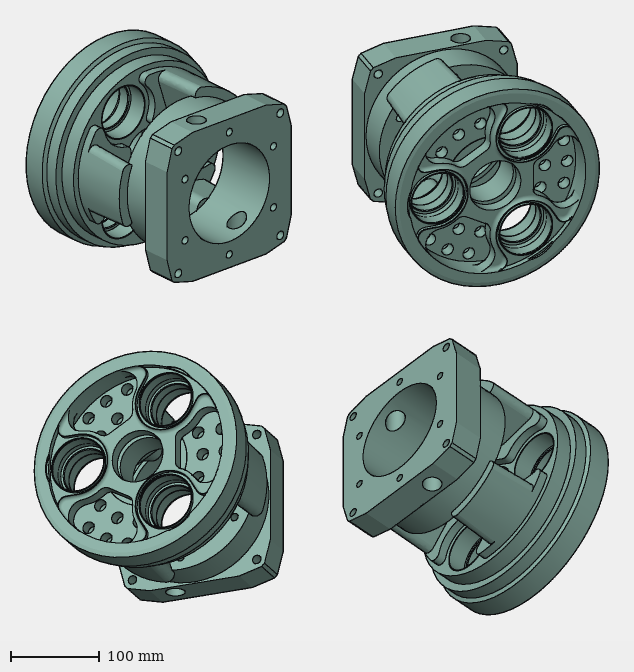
import cadquery as cq
import math

rim_dia = 248.0
rim_chamfer_dia = 238.0
front_chamfer_length = 1.0
rim_end = 28.8
rear_chamfer_length = 2.2
second_step_dia = 238.0
second_step_end = 46.5
third_step_dia = 220.0
flange_end = 66.5

recess_dia = 214.0
recess_floor = 7.2
web_back = 21.8
hub_land = 29.8
hub_land_dia = 101.2
hollow_floor = 30.5

ridge_inner_radius = 36.2
ridge_thickness = 0.5
ridge_fillet = 4.5
ridge_top = recess_floor - ridge_fillet
ridge_corner_radius = 9.7
bush_clearance_dia = 76.5
window_flat = 46.1
window_bore_distance = 42.2
window_corner_radius = 10.0
window_rim_corner_radius = 17.4

bore_circle_radius = 71.5
center_bore_dia = 62.0

bush_outer_dia = 65.0
bush_inner_dia = 63.0
bush_lip_dia = 55.0
bush_start = 3.5
bush_lip_start = 27.8
bush_lip_end = 43.5
bush_end = flange_end
bush_lip_chamfer = 1.0

blind_dia = 14.0
blind_depth = 15.0
blind_point_angle = 118.0
outer_blind_radius = 96.7
outer_blind_step = 16.4
inner_blind_radius = 69.7
inner_blind_step = 23.0

pad_radius = 103.0
pad_flat = 33.5
pad_bore_clearance = 38.2
pad_corner_radius = 7.5
pad_end = 77.0
pillar_end = 136.6
pillar_apex = 47.0
pillar_half_angle = 47.5
pillar_nose_radius = 11.2
pillar_corner_radius = 8.7
pillar_draft = 2.5

disc_start = 130.0
disc_dia = 182.0
collar_dia = 130.0
collar_start = 127.2
rear_bore_dia = 120.0
plate_start = 170.0
plate_end = 207.0
plate_half_width = 92.8
plate_flat_half = 54.8
plate_corner_far = 85.5
plate_corner_near = 82.0
plate_hole_dia = 10.2
plate_hole_offset = 76.1
disc_hole_dia = 9.0
disc_hole_radius = 76.1
disc_hole_first_angle = 30.0
radial_hole_dia = 22.0
radial_hole_x = 185.3
radial_hole_offset = 30.0

bore_angles = (0, 120, 240)
pillar_angles = (60, 180, 300)
margin = 24.8


def plane_at(x):
    """Workplane across the axis at X = x, with local x along Y and local y along Z."""
    return cq.Workplane("YZ", origin=(x, 0, 0))


def disc(diameter, start, end):
    return plane_at(start).circle(diameter / 2).extrude(end - start)


def turned(solid, angle):
    """Copy of a solid turned about the axis of the part."""
    return solid.rotate((0, 0, 0), (1, 0, 0), angle)


def polar(radius, angle):
    return (radius * math.cos(math.radians(angle)), radius * math.sin(math.radians(angle)))


def bore_slots(radius, start, end):
    """Three round-ended bars around the bores, running outward past the rim."""
    bar = plane_at(start).center(bore_circle_radius, 0).circle(radius).extrude(end - start)
    arm = plane_at(start).center(bore_circle_radius + rim_dia / 2, 0).rect(rim_dia, 2 * radius)
    bar = bar.union(arm.extrude(end - start))
    slots = bar
    for angle in bore_angles[1:]:
        slots = slots.union(turned(bar, angle))
    return slots


def half_space(flat, start, end):
    """Block that covers everything farther than `flat` from the axis, along +Y."""
    block = plane_at(start).center(flat + rim_dia / 2, 0).rect(rim_dia, 2 * rim_dia)
    return block.extrude(end - start)


def make_flange():
    profile = [
        (0, 0),
        (0, rim_chamfer_dia / 2),
        (front_chamfer_length, rim_dia / 2),
        (rim_end, rim_dia / 2),
        (rim_end + rear_chamfer_length, second_step_dia / 2),
        (second_step_end, second_step_dia / 2),
        (second_step_end, third_step_dia / 2),
        (flange_end, third_step_dia / 2),
        (flange_end, 0),
    ]
    return cq.Workplane("XY").polyline(profile).close().revolve(360, (0, 0, 0), (1, 0, 0))


def area_between_bores(diameter, bore_distance, corner_radius, start, end):
    """Disc without three round-ended bars around the bores, with rounded corners at its edge."""
    area = disc(diameter, start, end).cut(bore_slots(bore_distance, start, end))
    return area.edges("|X").fillet(corner_radius)


def recess_cutter():
    """Recess with a thin ridge around each bore, filleted outward into the recess floor."""
    ridge_wall_radius = ridge_inner_radius + ridge_thickness
    between = area_between_bores(recess_dia, ridge_wall_radius, ridge_corner_radius, ridge_top, recess_floor)
    between = between.faces(">X").edges().fillet(ridge_fillet - 0.02)
    around_bores = disc(recess_dia, ridge_top, recess_floor).cut(
        area_between_bores(
            recess_dia + 2 * ridge_thickness,
            ridge_inner_radius,
            ridge_corner_radius + ridge_thickness,
            ridge_top,
            recess_floor,
        )
    )
    return between.union(around_bores).union(disc(recess_dia, 0, ridge_top))


def window_cutter():
    """Window through the web between two bores, centered on +Y before it is turned into place."""
    window = disc(recess_dia, ridge_top, web_back).intersect(half_space(window_flat, ridge_top, web_back))
    window = window.cut(turned(bore_slots(window_bore_distance, ridge_top, web_back), 180))
    rim_corners = cq.selectors.BoxSelector((0, bore_circle_radius, -rim_dia), (web_back, rim_dia, rim_dia))
    window = window.edges("|X").edges(rim_corners).fillet(window_rim_corner_radius)
    hub_corners = cq.selectors.BoxSelector((0, 0, -rim_dia), (web_back, window_flat + 2.5, rim_dia))
    return window.edges("|X").edges(hub_corners).fillet(window_corner_radius)


def hollow_cutter():
    """Hollow behind the web, with a low land around the center bore."""
    deep_ring = disc(recess_dia, hub_land, hollow_floor).cut(disc(hub_land_dia, hub_land, hollow_floor))
    return disc(recess_dia, web_back, hub_land).union(deep_ring)


def blind_hole(y, z):
    point_length = blind_dia / 2 / math.tan(math.radians(blind_point_angle / 2))
    profile = [
        (hollow_floor, 0),
        (hollow_floor, blind_dia / 2),
        (hollow_floor + blind_depth, blind_dia / 2),
        (hollow_floor + blind_depth + point_length, 0),
    ]
    hole = cq.Workplane("XY").polyline(profile).close().revolve(360, (0, 0, 0), (1, 0, 0))
    return hole.translate((0, y, z))


def blind_hole_cutters():
    """Six blind holes in the floor of the hollow, around +Y."""
    cutters = cq.Workplane("YZ")
    for radius, step in ((outer_blind_radius, outer_blind_step), (inner_blind_radius, inner_blind_step)):
        for index in (-1, 0, 1):
            cutters = cutters.add(blind_hole(*polar(radius, index * step)))
    return cutters.combine()


def bore_cutter():
    """Bore for a bush, with the clearance that it needs in the rim of the recess."""
    bore = disc(bush_outer_dia, 0, bush_end)
    clearance = disc(bush_clearance_dia, 0, ridge_top)
    return bore.union(clearance).translate((0, bore_circle_radius, 0))


def make_pad():
    pad = disc(2 * pad_radius, flange_end, pad_end).intersect(half_space(pad_flat, flange_end, pad_end))
    for side in (-60, 60):
        y, z = polar(bore_circle_radius, side)
        clearance = plane_at(flange_end).center(y, z).circle(pad_bore_clearance)
        pad = pad.cut(clearance.extrude(pad_end - flange_end))
    return pad.edges("|X").fillet(pad_corner_radius)


def make_pillar():
    """Tapered three-sided pillar with a rounded nose toward the axis."""
    reach = rim_dia / 2
    half_width = (reach - pillar_apex) * math.tan(math.radians(pillar_half_angle))
    wedge = plane_at(pad_end).polyline([(pillar_apex, 0), (reach, -half_width), (reach, half_width)]).close()
    pillar = wedge.extrude(pillar_end - pad_end, taper=pillar_draft)
    pillar = pillar.intersect(disc(2 * pad_radius, pad_end, pillar_end))
    middle = (pad_end + pillar_end) / 2
    corners = cq.selectors.BoxSelector((middle - 2.5, 0, -reach), (middle + 2.5, reach, reach))
    nose = cq.selectors.BoxSelector((middle - 2.5, 0, -2.5), (middle + 2.5, reach, 2.5))
    pillar = pillar.edges(corners - nose).fillet(pillar_corner_radius)
    return pillar.edges(nose).fillet(pillar_nose_radius)


def make_end_plate():
    quarter = [
        (plate_half_width, plate_flat_half),
        (plate_corner_far, plate_corner_near),
        (plate_corner_near, plate_corner_far),
        (plate_flat_half, plate_half_width),
    ]
    outline = []
    for _ in range(4):
        outline += quarter
        quarter = [(-z, y) for y, z in quarter]
    plate = plane_at(plate_start).polyline(outline).close().extrude(plate_end - plate_start)
    holes = plane_at(plate_start).rect(2 * plate_hole_offset, 2 * plate_hole_offset, forConstruction=True)
    return plate.cut(holes.vertices().circle(plate_hole_dia / 2).extrude(plate_end - plate_start))


def radial_hole():
    hole = cq.Workplane("XY").center(radial_hole_x, -radial_hole_offset).circle(radial_hole_dia / 2)
    return hole.extrude(plate_half_width + margin)


def make_housing():
    housing = make_flange().cut(recess_cutter()).cut(hollow_cutter())
    for angle in pillar_angles:
        housing = housing.cut(turned(window_cutter(), angle))
        housing = housing.cut(turned(blind_hole_cutters(), angle))
        housing = housing.union(turned(make_pad(), angle))
        housing = housing.union(turned(make_pillar(), angle))
    housing = housing.union(disc(disc_dia, disc_start, plate_start))
    housing = housing.union(disc(collar_dia, collar_start, disc_start))
    housing = housing.union(make_end_plate())

    for angle in bore_angles:
        housing = housing.cut(turned(bore_cutter(), angle))
    housing = housing.cut(disc(center_bore_dia, 0, pad_end))
    housing = housing.cut(disc(rear_bore_dia, collar_start, plate_end))
    screw_holes = plane_at(disc_start).polarArray(disc_hole_radius, disc_hole_first_angle, 360, 6)
    housing = housing.cut(screw_holes.circle(disc_hole_dia / 2).extrude(plate_end - disc_start))
    for angle in (0, 180):
        housing = housing.cut(turned(radial_hole(), angle))
    return housing


def make_bush(angle):
    """Thin sleeve with a chamfered lip that leaves a wide bore at each end."""
    outer = bush_outer_dia / 2
    inner = bush_inner_dia / 2
    lip = bush_lip_dia / 2
    profile = [
        (bush_start, outer),
        (bush_start, inner),
        (bush_lip_start, inner),
        (bush_lip_start, lip + bush_lip_chamfer),
        (bush_lip_start + bush_lip_chamfer, lip),
        (bush_lip_end - bush_lip_chamfer, lip),
        (bush_lip_end, lip + bush_lip_chamfer),
        (bush_lip_end, inner),
        (bush_end, inner),
        (bush_end, outer),
    ]
    bush = cq.Workplane("XY").polyline(profile).close().revolve(360, (0, 0, 0), (1, 0, 0))
    return turned(bush.translate((0, bore_circle_radius, 0)), angle)


housing = make_housing()
bushes = [make_bush(angle) for angle in bore_angles]
result = cq.Compound.makeCompound([housing.val(), *[bush.val() for bush in bushes]])